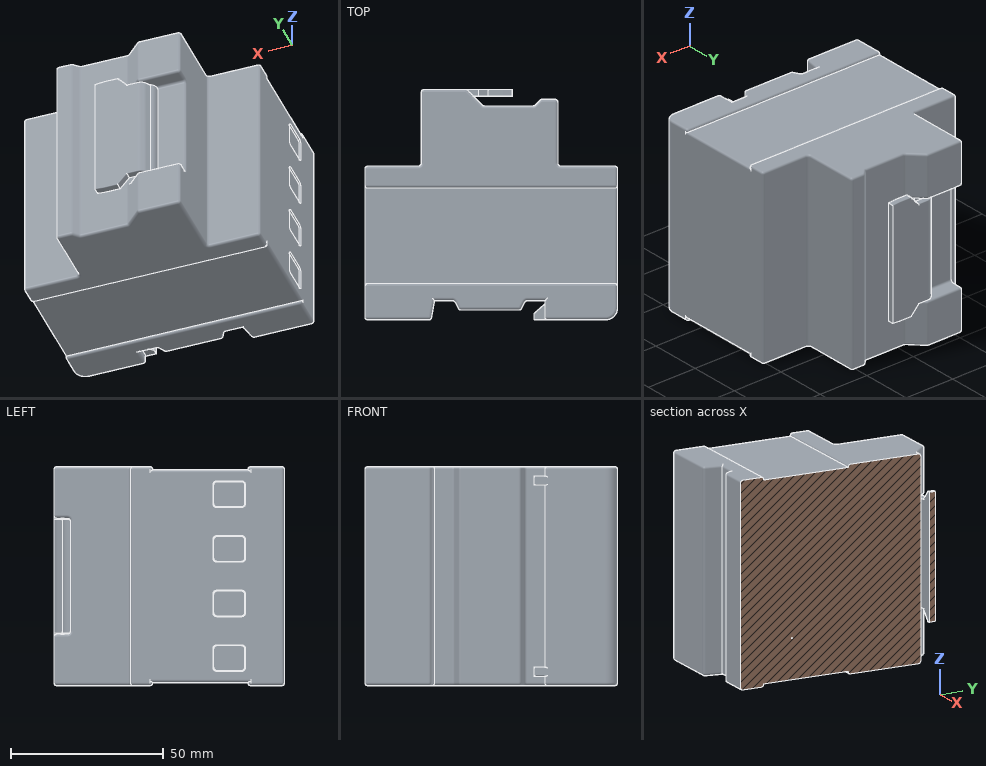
import cadquery as cq
import math


WIDTH = 83.0
DEPTH = 75.7
HEIGHT = 72.0
EDGE_RADIUS = 1.0
SMALL_RADIUS = 0.3

PICK_MARGIN = 0.1

SHOULDER_Y = 50.55
BLOCK_LEFT = 18.5
BLOCK_RIGHT = 63.4
PANEL_Y = 70.3
PANEL_LEFT = 38.85
PANEL_RIGHT = 55.6
SLOPE_TOP = 33.45
RIDGE_Y = 72.5
RIDGE_LEFT = 57.8

SLOT_LEFT_MOUTH = 21.8
SLOT_LEFT = 22.9
SLOT_RIGHT = 59.1
SLOT_DEPTH = 6.3
PAD_CENTRE = 41.1
PAD_BASE_WIDTH = 23.4
PAD_FACE_WIDTH = 20.2
PAD_Y = 3.2
REAR_CORNER_RADIUS = 4.0

BAND_START = 12.0
BAND_END = 43.25
BAND_DEPTH = EDGE_RADIUS

HOOK_TIP = 55.5
HOOK_TIP_LENGTH = 2.15
HOOK_LENGTH = 5.3
HOOK_THICKNESS = 3.0
HOOK_OFFSET = 31.4

TERMINAL_COUNT = 4
TERMINAL_PITCH = 17.9
TERMINAL_Y = 18.2
TERMINAL_LENGTH = 10.7
TERMINAL_HEIGHT = 8.7
TERMINAL_RADIUS = 1.3
TERMINAL_DEPTH = 0.5
TERMINAL_DRAFT = 30.0

OPENING_WIDTH = 38.0
OPENING_OVERRUN = 1.7

TOGGLE_GAP = 0.3
DRUM_X = 31.5
DRUM_RADIUS = 3.1
LEVER_THICKNESS = 2.3
LEVER_END = 48.5
LEVER_NECK_END = 37.3
LEVER_FLARE_END = 40.5
LEVER_TAPER_START = 45.5
LEVER_FLARE = 3.65
LEVER_TAPER = 0.25
LEVER_BACK_ANGLE = math.radians(56)
LEVER_BACK_RADIUS = 3.0
LEVER_BACK_START = math.radians(120)


def fillet_corners(body, corners):
    """Round the Z-parallel edges of a body at the given (x, y, radius) corners."""
    for x, y, radius in corners:
        if radius > 0:
            edge = cq.selectors.NearestToPointSelector((x, y, 0))
            body = body.edges("|Z").edges(edge).fillet(radius)
    return body


def make_housing(height):
    """Extrude the housing outline, cut the toggle opening and round the edges."""
    pad_base_left = PAD_CENTRE - PAD_BASE_WIDTH / 2
    pad_base_right = PAD_CENTRE + PAD_BASE_WIDTH / 2
    pad_left = PAD_CENTRE - PAD_FACE_WIDTH / 2
    pad_right = PAD_CENTRE + PAD_FACE_WIDTH / 2

    corners = [
        (0, 0, EDGE_RADIUS),
        (SLOT_LEFT_MOUTH, 0, EDGE_RADIUS),
        (SLOT_LEFT, SLOT_DEPTH, 0),
        (pad_base_left, SLOT_DEPTH, EDGE_RADIUS),
        (pad_left, PAD_Y, EDGE_RADIUS),
        (pad_right, PAD_Y, EDGE_RADIUS),
        (pad_base_right, SLOT_DEPTH, EDGE_RADIUS),
        (SLOT_RIGHT, SLOT_DEPTH, 0),
        (SLOT_RIGHT, 0, EDGE_RADIUS),
        (WIDTH, 0, REAR_CORNER_RADIUS),
        (WIDTH, SHOULDER_Y, EDGE_RADIUS),
        (BLOCK_RIGHT, SHOULDER_Y, EDGE_RADIUS),
        (BLOCK_RIGHT, RIDGE_Y, EDGE_RADIUS),
        (RIDGE_LEFT, RIDGE_Y, EDGE_RADIUS),
        (PANEL_RIGHT, PANEL_Y, EDGE_RADIUS),
        (PANEL_LEFT, PANEL_Y, EDGE_RADIUS),
        (SLOPE_TOP, DEPTH, EDGE_RADIUS),
        (BLOCK_LEFT, DEPTH, EDGE_RADIUS),
        (BLOCK_LEFT, SHOULDER_Y, EDGE_RADIUS),
        (0, SHOULDER_Y, EDGE_RADIUS),
    ]
    outline = [(x, y) for x, y, radius in corners]
    body = cq.Workplane("XY").polyline(outline).close().extrude(height / 2, both=True)
    body = fillet_corners(body, corners)
    body = body.faces("<Z or >Z").edges().fillet(EDGE_RADIUS)
    return cut_toggle_opening(body)


def cut_toggle_opening(body):
    """Cut the toggle passage through the front block and round its rim on the -X side."""
    length = PANEL_LEFT - BLOCK_LEFT + 2 * OPENING_OVERRUN
    passage = (
        cq.Workplane("YZ", origin=(BLOCK_LEFT - OPENING_OVERRUN, DEPTH, 0))
        .rect(2 * (DEPTH - PANEL_Y), OPENING_WIDTH)
        .extrude(length)
        .edges("|X and <Y")
        .fillet(EDGE_RADIUS)
    )
    body = body.cut(passage)
    rim_half = OPENING_WIDTH / 2 + PICK_MARGIN
    rim = cq.selectors.BoxSelector(
        (BLOCK_LEFT - PICK_MARGIN, PANEL_Y - PICK_MARGIN, -rim_half),
        (BLOCK_LEFT + PICK_MARGIN, DEPTH + PICK_MARGIN, rim_half),
    )
    return body.edges(rim).fillet(EDGE_RADIUS)


def make_band_rim(y, z):
    """Round bar with ball ends that rounds the step beside a band."""
    end_x = WIDTH - EDGE_RADIUS
    bar = (
        cq.Workplane("YZ", origin=(EDGE_RADIUS, y, z))
        .circle(EDGE_RADIUS)
        .extrude(end_x - EDGE_RADIUS)
    )
    for x in (EDGE_RADIUS, end_x):
        bar = bar.union(cq.Workplane("XY", origin=(x, y, z)).sphere(EDGE_RADIUS))
    return bar


def make_body():
    """Join the thinner banded middle to the full-height front and rear."""
    middle_start = BAND_START - EDGE_RADIUS
    middle_end = BAND_END + EDGE_RADIUS
    middle = (
        cq.Workplane("XY", origin=(0, middle_start, 0))
        .box(WIDTH, middle_end - middle_start, HEIGHT, centered=(False, False, True))
    )
    banded = make_housing(HEIGHT - 2 * BAND_DEPTH).intersect(middle)
    rim_z = HEIGHT / 2 - EDGE_RADIUS
    for y in (middle_start, middle_end):
        for z in (-rim_z, rim_z):
            banded = banded.union(make_band_rim(y, z).intersect(middle))
    return make_housing(HEIGHT).cut(middle).union(banded)


def make_hook(centre_z):
    """Ramped hook reaching into the slot, with its outer face edges softened."""
    return (
        cq.Workplane("XY", origin=(0, 0, centre_z - HOOK_THICKNESS / 2))
        .moveTo(HOOK_TIP, 0)
        .lineTo(HOOK_TIP, HOOK_TIP_LENGTH)
        .lineTo(SLOT_RIGHT, HOOK_LENGTH)
        .lineTo(SLOT_RIGHT + EDGE_RADIUS, HOOK_LENGTH)
        .lineTo(SLOT_RIGHT + EDGE_RADIUS, 0)
        .close()
        .extrude(HOOK_THICKNESS)
        .faces("<Y")
        .edges("not >X")
        .fillet(SMALL_RADIUS)
    )


def make_terminal_recesses():
    """Row of shallow terminal recesses with rounded corners and sloping sides."""
    first_z = -(TERMINAL_COUNT - 1) / 2 * TERMINAL_PITCH
    centres = [(TERMINAL_Y, first_z + i * TERMINAL_PITCH) for i in range(TERMINAL_COUNT)]
    outline = (
        cq.Sketch()
        .rect(TERMINAL_LENGTH, TERMINAL_HEIGHT)
        .vertices()
        .fillet(TERMINAL_RADIUS)
    )
    return (
        cq.Workplane("YZ")
        .pushPoints(centres)
        .placeSketch(outline)
        .extrude(TERMINAL_DEPTH, taper=TERMINAL_DRAFT)
    )


def make_drum():
    """Toggle drum, half sunk into the floor of the opening."""
    length = OPENING_WIDTH - 2 * TOGGLE_GAP
    return (
        cq.Workplane("XY", origin=(DRUM_X, PANEL_Y, -length / 2))
        .circle(DRUM_RADIUS)
        .extrude(length)
    )


def make_lever():
    """Lever with a rounded sloping back, trimmed to a flared outline in the XZ plane."""
    back_x = DRUM_X + DRUM_RADIUS * math.cos(LEVER_BACK_START)
    back_y = PANEL_Y + DRUM_RADIUS * math.sin(LEVER_BACK_START)
    arc_rise = LEVER_BACK_RADIUS * (1 - math.cos(LEVER_BACK_ANGLE))
    arc_y = DEPTH - arc_rise
    arc_x = back_x + (arc_y - back_y) / math.tan(LEVER_BACK_ANGLE)
    top_x = arc_x + LEVER_BACK_RADIUS * math.sin(LEVER_BACK_ANGLE)
    mid_x = top_x - LEVER_BACK_RADIUS * math.sin(LEVER_BACK_ANGLE / 2)
    mid_y = DEPTH - LEVER_BACK_RADIUS * (1 - math.cos(LEVER_BACK_ANGLE / 2))
    under_y = DEPTH - LEVER_THICKNESS

    neck = OPENING_WIDTH / 2 - TOGGLE_GAP
    wide = neck + LEVER_FLARE
    side = (
        cq.Workplane("XY")
        .moveTo(back_x, back_y)
        .lineTo(arc_x, arc_y)
        .threePointArc((mid_x, mid_y), (top_x, DEPTH))
        .lineTo(LEVER_END, DEPTH)
        .lineTo(LEVER_END, under_y)
        .lineTo(DRUM_X, under_y)
        .lineTo(DRUM_X, PANEL_Y)
        .close()
        .extrude(wide, both=True)
    )
    half_plan = [
        (back_x, neck),
        (LEVER_NECK_END, neck),
        (LEVER_FLARE_END, wide),
        (LEVER_TAPER_START, wide),
        (LEVER_END, wide - LEVER_TAPER),
    ]
    plan_points = half_plan + [(x, -z) for x, z in reversed(half_plan)]
    plan = (
        cq.Workplane("XZ", origin=(0, DEPTH, 0))
        .polyline(plan_points)
        .close()
        .extrude(DEPTH - PANEL_Y)
    )
    lever = side.intersect(plan)
    for side_z in (-1, 1):
        flank = cq.selectors.BoxSelector(
            (top_x, under_y - PICK_MARGIN, side_z * (neck - PICK_MARGIN)),
            (LEVER_END - PICK_MARGIN, DEPTH + PICK_MARGIN, side_z * (wide + PICK_MARGIN)),
        )
        lever = lever.faces("<Y or >Y").edges(flank).fillet(SMALL_RADIUS)
    return lever


body = make_body()
body = body.cut(make_terminal_recesses())
for hook_z in (-HOOK_OFFSET, HOOK_OFFSET):
    body = body.union(make_hook(hook_z))
result = body.union(make_drum()).union(make_lever())